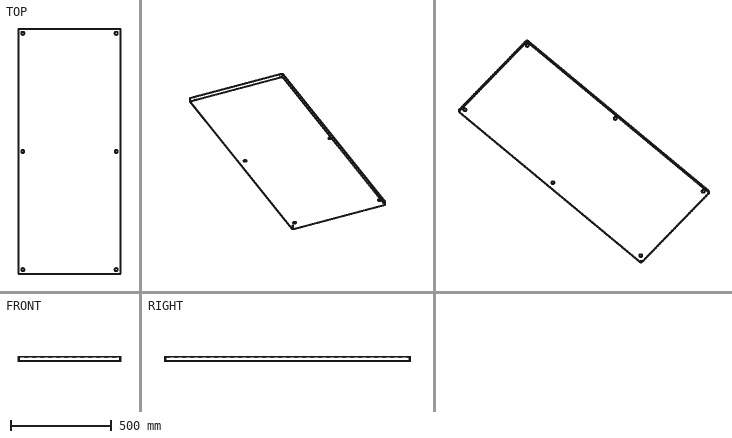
import cadquery as cq

WIDTH = 508.0
LENGTH = 1219.0
SHEET = 1.5
BEND_RADIUS = 2 * SHEET
WALL_HEIGHT = 20.0
HEIGHT = WALL_HEIGHT + BEND_RADIUS

CORNER_RELIEF = BEND_RADIUS

HOLE_DIAMETER = 15.0
HOLE_EDGE_DISTANCE = 22.0


def bent_block(width, length, height, radius):
    """Block standing on Z = 0 with its top rim rounded."""
    block = cq.Workplane("XY").box(width, length, height, centered=(True, True, False))
    return block.edges(">Z").fillet(radius)


def tray():
    """Thin top and walls, left by hollowing a block from below."""
    outside = bent_block(WIDTH, LENGTH, HEIGHT, BEND_RADIUS)
    inside = bent_block(WIDTH - 2 * SHEET, LENGTH - 2 * SHEET, HEIGHT - SHEET, BEND_RADIUS - SHEET)
    return outside.cut(inside)


def corner_reliefs():
    """Square posts filling the four outer corners."""
    x = (WIDTH - CORNER_RELIEF) / 2
    y = (LENGTH - CORNER_RELIEF) / 2
    centres = [(side * x, end * y) for side in (-1, 1) for end in (-1, 1)]
    return cq.Workplane("XY").pushPoints(centres).rect(CORNER_RELIEF, CORNER_RELIEF).extrude(HEIGHT)


def fixing_holes():
    """Cylinders at the four corners and midway along each long side."""
    x = WIDTH / 2 - HOLE_EDGE_DISTANCE
    y = LENGTH / 2 - HOLE_EDGE_DISTANCE
    centres = [(side * x, row * y) for side in (-1, 1) for row in (-1, 0, 1)]
    return cq.Workplane("XY").pushPoints(centres).circle(HOLE_DIAMETER / 2).extrude(HEIGHT)


result = tray().cut(corner_reliefs()).cut(fixing_holes())